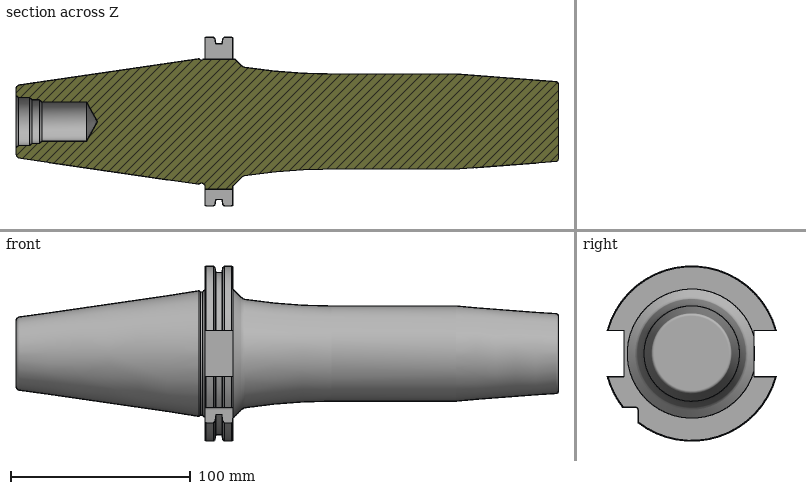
import cadquery as cq
import math

total_length = 301.5

taper_length = 101.5
gauge_radius = 35.0
taper_slope = 7 / 24 / 2
taper_end_radius = gauge_radius - taper_length * taper_slope
taper_end_fillet = 2.5
relief_radius = 34.5
relief_start = 102.5
relief_end = 103.8
relief_flare_radius = 35.5

flange_start = 105.0
flange_end = 120.5
flange_radius = 48.7
flange_chamfer_width = 0.75
flange_chamfer_depth = 0.45
groove_center = 112.8
groove_mouth = 6.0
groove_throat = 4.2
groove_floor = 3.3
groove_lip_depth = 1.0
groove_depth = 3.47

slot_width = 25.5
slot_floor_minus_y = 37.7
slot_floor_plus_y = 34.7
notch_offset = 30.0
notch_fillet = 1.5

collar_radius = 36.0
collar_cone_end = 125.2
collar_cone_end_radius = 31.5
neck_start = 127.5
neck_radius = 30.2
shank_start = 175.5
shank_radius = 26.5
nose_start = 244.5
nose_radius = 22.17
nose_fillet = 1.5

mouth_radius = 14.5
pilot_start = 1.5
pilot_radius = 13.3
pilot_end = 7.5
step_start = 9.0
step_radius = 12.0
step_end = 13.0
thread_start = 14.5
thread_radius = 11.0
thread_end = 39.2
drill_tip_length = 6.0


def revolve_about_x(profile):
    return profile.close().revolve(360, (0, 0, 0), (1, 0, 0))


def make_body():
    groove_bottom = flange_radius - groove_depth
    groove_throat_radius = flange_radius - groove_lip_depth
    rim_radius = flange_radius - flange_chamfer_depth
    profile = (
        cq.Workplane("XY")
        .moveTo(0, 0)
        .lineTo(0, taper_end_radius)
        .lineTo(taper_length, gauge_radius)
        .lineTo(relief_start, relief_radius)
        .lineTo(relief_end, relief_radius)
        .lineTo(flange_start, relief_flare_radius)
        .lineTo(flange_start, rim_radius)
        .lineTo(flange_start + flange_chamfer_width, flange_radius)
        .lineTo(groove_center - groove_mouth / 2, flange_radius)
        .lineTo(groove_center - groove_throat / 2, groove_throat_radius)
        .lineTo(groove_center - groove_floor / 2, groove_bottom)
        .lineTo(groove_center + groove_floor / 2, groove_bottom)
        .lineTo(groove_center + groove_throat / 2, groove_throat_radius)
        .lineTo(groove_center + groove_mouth / 2, flange_radius)
        .lineTo(flange_end - flange_chamfer_width, flange_radius)
        .lineTo(flange_end, rim_radius)
        .lineTo(flange_end, collar_radius)
        .lineTo(collar_cone_end, collar_cone_end_radius)
        .tangentArcPoint((neck_start, neck_radius), relative=False)
    )
    run = shank_start - neck_start
    drop = neck_radius - shank_radius
    arc_radius = (run**2 + drop**2) / (2 * drop)
    arc_middle_x = shank_start - run / 2
    arc_center_radius = shank_radius + arc_radius
    arc_middle_radius = arc_center_radius - math.sqrt(arc_radius**2 - (run / 2) ** 2)
    profile = (
        profile.threePointArc((arc_middle_x, arc_middle_radius), (shank_start, shank_radius))
        .lineTo(nose_start, shank_radius)
        .lineTo(total_length, nose_radius)
        .lineTo(total_length, 0)
    )
    body = revolve_about_x(profile)
    body = body.faces("<X").edges().fillet(taper_end_fillet)
    return body.faces(">X").edges().fillet(nose_fillet)


def make_hole():
    return revolve_about_x(
        cq.Workplane("XY")
        .moveTo(0, 0)
        .lineTo(0, mouth_radius)
        .lineTo(pilot_start, pilot_radius)
        .lineTo(pilot_end, pilot_radius)
        .lineTo(step_start, step_radius)
        .lineTo(step_end, step_radius)
        .lineTo(thread_start, thread_radius)
        .lineTo(thread_end, thread_radius)
        .lineTo(thread_end + drill_tip_length, 0)
    )


def flange_cutter(y_start, z_start, height):
    """Block spanning the flange and the flares beside it, running from y_start outward along +Y."""
    block = cq.Workplane("XY").box(
        neck_start - relief_end, flange_radius, height, centered=False
    )
    return block.translate((relief_end, y_start, z_start))


def make_slots():
    plus_slot = flange_cutter(slot_floor_plus_y, -slot_width / 2, slot_width)
    minus_slot = flange_cutter(slot_floor_minus_y, -slot_width / 2, slot_width).mirror("XZ")
    return plus_slot.union(minus_slot)


def make_notch():
    notch = flange_cutter(notch_offset, -notch_offset - flange_radius, flange_radius)
    return notch.edges("|X and <Y and >Z").fillet(notch_fillet).mirror("XZ")


result = make_body().cut(make_hole()).cut(make_slots()).cut(make_notch())